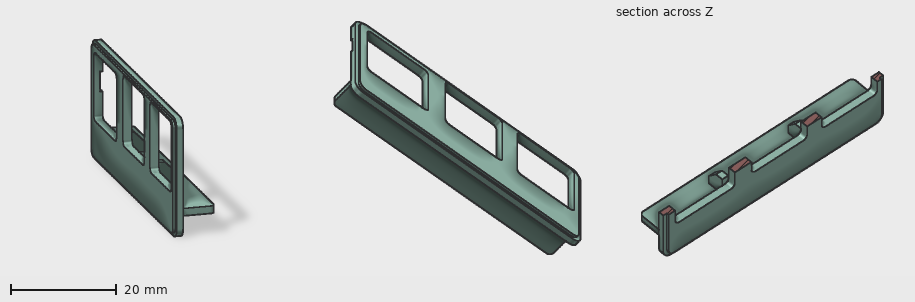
import cadquery as cq

LENGTH = 55.5
HEIGHT = 23.5
DEPTH = 8.3
FACE_THICKNESS = 0.5
FLANGE_THICKNESS = 1.3
FLANGE_RADIUS = 2.0
FACE_SIDE_INSET = 0.9
FACE_END_INSET = 0.6
FACE_RADIUS = 1.5
PLATE_BACK = FACE_THICKNESS + FLANGE_THICKNESS

FIRST_WINDOW_LEFT = 2.6
FIRST_WINDOW_BOTTOM = 8.0
FIRST_WINDOW_WIDTH = 15.0
FIRST_WINDOW_HEIGHT = 13.5
SQUARE_WINDOW_LEFTS = (21.8, 39.5)
SQUARE_WINDOW_BOTTOM = 8.6
SQUARE_WINDOW_SIZE = 14.0
WINDOW_RADIUS = 1.0

SHELF_BOTTOM = 4.15
SHELF_THICKNESS = 1.5
SHELF_TOP = SHELF_BOTTOM + SHELF_THICKNESS
SHELF_RADIUS = 1.0
RIB_LEFT = 16.0
RIB_SPACING = 20.0
RIB_COUNT = 2
RIB_WIDTH = 1.5
RIB_DEPTH = 3.8
RIB_HEIGHT = 4.0
RIB_CHAMFER = 2.0

NOTCH_BOTTOM = 13.45
NOTCH_HEIGHT = 4.0
NOTCH_DEPTH = 0.5


def block(left, front, bottom, width, depth, height):
    """Box placed by its lowest corner."""
    return cq.Workplane("XY").box(width, depth, height, centered=False).translate((left, front, bottom))


def rounded_panel(left, front, bottom, width, depth, height, radius):
    """Upright panel with rounded corners in the XZ plane."""
    return block(left, front, bottom, width, depth, height).edges("|Y").fillet(radius)


def make_plate():
    flange = rounded_panel(0, FACE_THICKNESS, 0, LENGTH, FLANGE_THICKNESS, HEIGHT, FLANGE_RADIUS)
    face_width = LENGTH - 2 * FACE_SIDE_INSET
    face_height = HEIGHT - 2 * FACE_END_INSET
    face = rounded_panel(
        FACE_SIDE_INSET, 0, FACE_END_INSET, face_width, PLATE_BACK, face_height, FACE_RADIUS
    )
    return flange.union(face)


def cut_window(plate, left, bottom, width, height):
    return plate.cut(rounded_panel(left, 0, bottom, width, PLATE_BACK, height, WINDOW_RADIUS))


def make_shelf():
    width = LENGTH - 2 * FACE_SIDE_INSET
    shelf = block(FACE_SIDE_INSET, PLATE_BACK, SHELF_BOTTOM, width, DEPTH - PLATE_BACK, SHELF_THICKNESS)
    return shelf.edges("|Z and >Y").fillet(SHELF_RADIUS)


def make_rib(left):
    rib = block(left, PLATE_BACK, SHELF_TOP, RIB_WIDTH, RIB_DEPTH, RIB_HEIGHT)
    return rib.edges(">Y and >Z").chamfer(RIB_CHAMFER)


plate = make_plate()
plate = cut_window(plate, FIRST_WINDOW_LEFT, FIRST_WINDOW_BOTTOM, FIRST_WINDOW_WIDTH, FIRST_WINDOW_HEIGHT)
for window_left in SQUARE_WINDOW_LEFTS:
    plate = cut_window(plate, window_left, SQUARE_WINDOW_BOTTOM, SQUARE_WINDOW_SIZE, SQUARE_WINDOW_SIZE)

notch = block(0, PLATE_BACK - NOTCH_DEPTH, NOTCH_BOTTOM, FIRST_WINDOW_LEFT, NOTCH_DEPTH, NOTCH_HEIGHT)
result = plate.cut(notch).union(make_shelf())
for rib_index in range(RIB_COUNT):
    result = result.union(make_rib(RIB_LEFT + rib_index * RIB_SPACING))